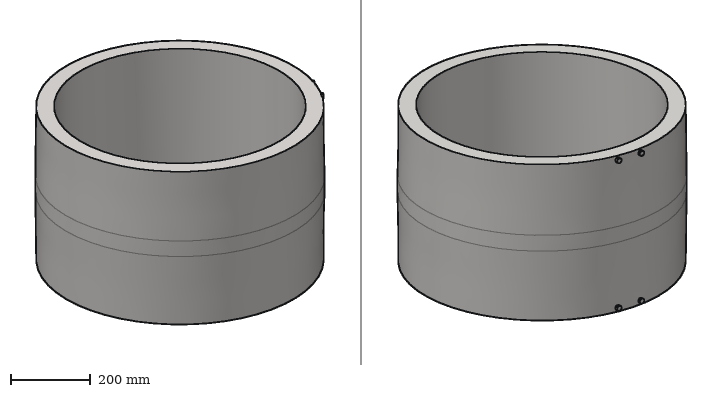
import cadquery as cq

width = 430.0
crown_radius = 362.0
end_radius = 360.0
bore_radius = 315.0
band_width = 43.5
peg_diameter = 14.0
peg_spacing = 71.0
peg_end_inset = 11.5
peg_tip = 365.0
peg_root = (bore_radius + end_radius) / 2

band_bottom = (width - band_width) / 2
band_top = band_bottom + band_width


def make_rim():
    """Revolve a rim that tapers gently from the middle band to both ends."""
    return (
        cq.Workplane("XZ")
        .moveTo(bore_radius, 0)
        .lineTo(end_radius, 0)
        .lineTo(crown_radius, band_bottom)
        .lineTo(crown_radius, band_top)
        .lineTo(end_radius, width)
        .lineTo(bore_radius, width)
        .close()
        .revolve(360, (0, 0, 0), (0, 1, 0))
    )


def make_peg(x, z):
    """Make a round peg along +Y, rooted in the rim wall."""
    root = cq.Vector(x, peg_root, z)
    length = peg_tip - peg_root
    return cq.Solid.makeCylinder(peg_diameter / 2, length, root, cq.Vector(0, 1, 0))


result = make_rim()
for peg_x in (-peg_spacing / 2, peg_spacing / 2):
    for peg_z in (peg_end_inset, width - peg_end_inset):
        result = result.union(make_peg(peg_x, peg_z))